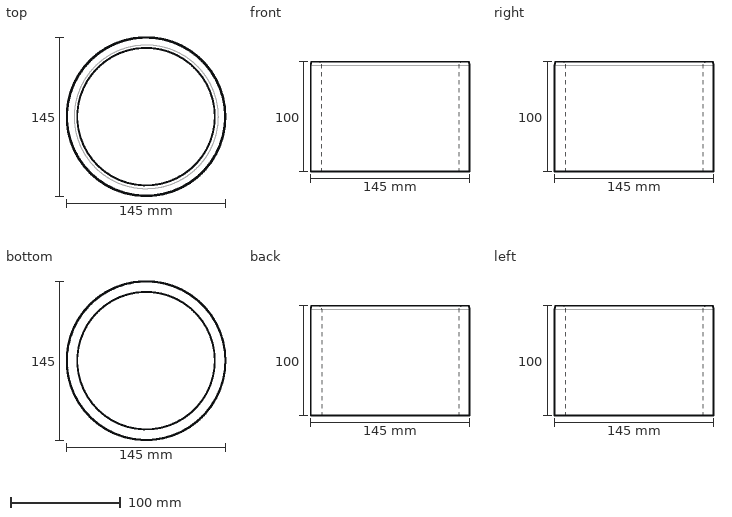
import cadquery as cq

outer_diameter = 145.0
bore_diameter = 125.0
height = 100.0

lead_in_height = 3.0
lead_in_depth = 0.7
bore_rounding = 3.0
bottom_chamfer = 0.5

outer_radius = outer_diameter / 2
bore_radius = bore_diameter / 2

wall_section = (
    cq.Workplane("XZ")
    .moveTo(bore_radius, 0)
    .lineTo(outer_radius - bottom_chamfer, 0)
    .lineTo(outer_radius, bottom_chamfer)
    .lineTo(outer_radius, height - lead_in_height)
    .lineTo(outer_radius - lead_in_depth, height)
    .lineTo(bore_radius + bore_rounding, height)
    .radiusArc((bore_radius, height - bore_rounding), -bore_rounding)
    .close()
)

result = wall_section.revolve(360, (0, 0, 0), (0, 1, 0))